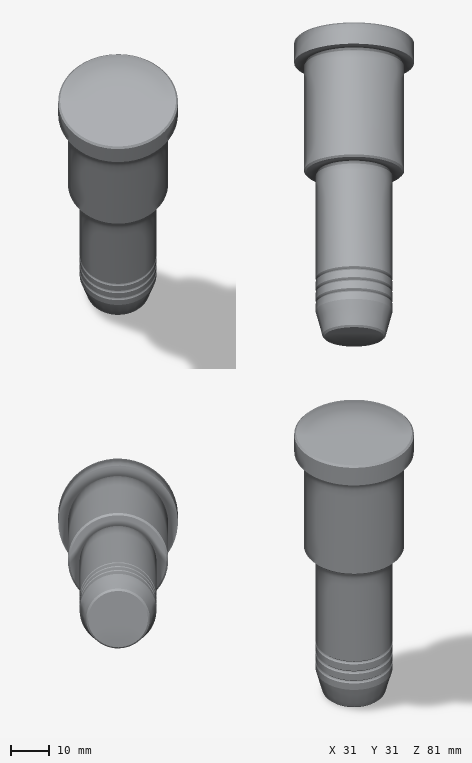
import cadquery as cq
import math

total_height = 81.0
head_height = 6.0
body_length = 30.0
head_bottom = total_height - head_height
body_bottom = head_bottom - body_length

head_radius = 31.0 / 2
body_radius = 26.0 / 2
shank_radius = 19.9 / 2

edge_chamfer = 0.5
relief_depth = 0.5
relief_width = 1.0

taper_height = 7.0
taper_angle = 15.0
taper_drop = (taper_height - edge_chamfer) * math.tan(math.radians(taper_angle))
tip_radius = shank_radius - taper_drop

groove_count = 3
groove_spacing = 3.0
lowest_groove_height = 9.5
groove_depth = 0.5


def stepped_pin():
    """Revolve the head, body, shank and tapered tip about Z."""
    profile = [
        (0, 0),
        (tip_radius - edge_chamfer, 0),
        (tip_radius, edge_chamfer),
        (shank_radius, taper_height),
        (shank_radius, body_bottom - relief_width),
        (shank_radius - relief_depth, body_bottom - relief_width),
        (shank_radius - relief_depth, body_bottom),
        (body_radius - edge_chamfer, body_bottom),
        (body_radius, body_bottom + edge_chamfer),
        (body_radius, head_bottom - relief_width),
        (body_radius - relief_depth, head_bottom - relief_width + relief_depth),
        (body_radius - relief_depth, head_bottom),
        (head_radius, head_bottom),
        (head_radius, total_height - edge_chamfer),
        (head_radius - edge_chamfer, total_height),
        (0, total_height),
    ]
    return cq.Workplane("XZ").polyline(profile).close().revolve(360, (0, 0), (0, 1))


def v_groove(height):
    """Ring-shaped cutter for a 90 degree groove centred at the given height."""
    clearance = 0.4
    half_width = groove_depth + clearance
    profile = [
        (shank_radius - groove_depth, height),
        (shank_radius + clearance, height - half_width),
        (shank_radius + clearance, height + half_width),
    ]
    return cq.Workplane("XZ").polyline(profile).close().revolve(360, (0, 0), (0, 1))


result = stepped_pin()
for index in range(groove_count):
    result = result.cut(v_groove(lowest_groove_height + index * groove_spacing))